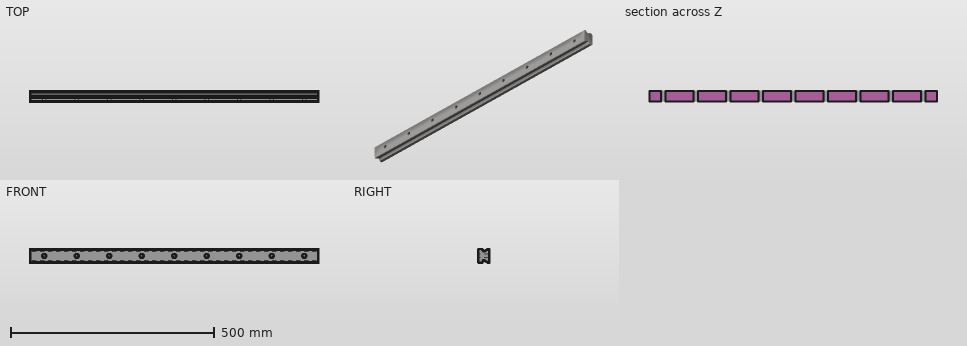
import cadquery as cq
import math

RAIL_LENGTH = 710.0
RAIL_HEIGHT = 27.5
RAIL_WIDTH = 34.0

GROOVE_DEPTH = 6.0
GROOVE_FLOOR_WIDTH = 0.8
GROOVE_BASE_Y = -3.87
BASE_WALL_ANGLE = 60.0
HEAD_WALL_ANGLE = 30.0

LIP_DEPTH = 2.0
LIP_LENGTH = 2.9

BASE_CHAMFER = 2.1
HEAD_CHAMFER = 1.2

HOLE_DIAMETER = 9.0
HOLE_PITCH = 80.0
HOLE_COUNT = 9

half_height = RAIL_HEIGHT / 2
half_width = RAIL_WIDTH / 2

floor_z = half_width - GROOVE_DEPTH
floor_base_y = GROOVE_BASE_Y + GROOVE_DEPTH / math.tan(math.radians(BASE_WALL_ANGLE))
floor_head_y = floor_base_y + GROOVE_FLOOR_WIDTH
head_wall_rise = GROOVE_DEPTH - LIP_DEPTH
lip_y = floor_head_y + head_wall_rise / math.tan(math.radians(HEAD_WALL_ANGLE))


def rail_body():
    """Extrude the cross-section, symmetric about Z = 0, along X."""
    upper_side = [
        (-half_height, half_width - BASE_CHAMFER),
        (-half_height + BASE_CHAMFER, half_width),
        (GROOVE_BASE_Y, half_width),
        (floor_base_y, floor_z),
        (floor_head_y, floor_z),
        (lip_y, half_width - LIP_DEPTH),
        (lip_y + LIP_LENGTH, half_width),
        (half_height - HEAD_CHAMFER, half_width),
        (half_height, half_width - HEAD_CHAMFER),
    ]
    lower_side = [(y, -z) for y, z in reversed(upper_side)]
    profile = cq.Workplane("YZ").polyline(upper_side + lower_side).close()
    return profile.extrude(RAIL_LENGTH / 2, both=True)


def mounting_holes():
    """Cylinders along Y, one per mounting hole, passing right through the rail."""
    centres = cq.Workplane("XZ").rarray(HOLE_PITCH, 1, HOLE_COUNT, 1)
    return centres.circle(HOLE_DIAMETER / 2).extrude(RAIL_HEIGHT, both=True)


result = rail_body().cut(mounting_holes())